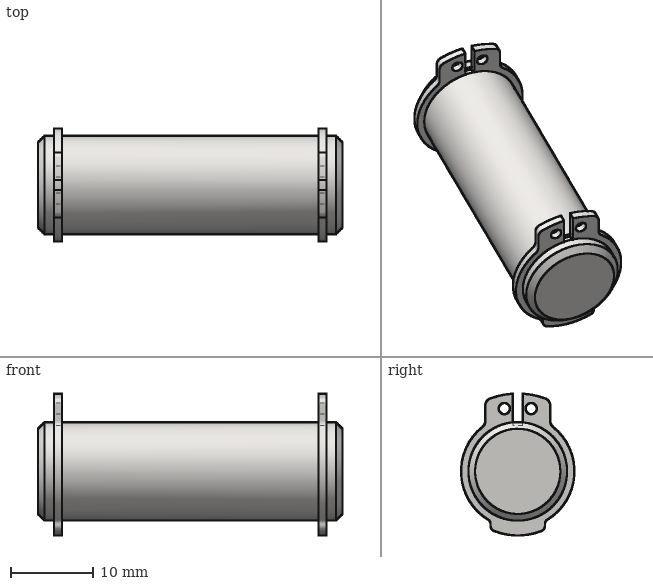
import cadquery as cq
import math

pin_length = 37.0
pin_radius = 6.0
pin_chamfer = 0.8

ring_thickness = 1.0
ring_inset = 1.92
ring_width = 13.8
ring_radius = ring_width / 2
groove_depth = 0.4

ear_half_width = 3.95
ear_tip_radius = 9.47
ear_fillet = 0.92
ear_gap = 1.2
ear_hole_diameter = 1.35
ear_hole_spacing = 3.25
ear_hole_height = 7.62

tab_half_width = 3.33
tab_tip_radius = 7.8
tab_tip_fillet = 0.75
tab_root_fillet = 0.5

corner_search = 0.2


def disc(radius):
    return cq.Workplane("YZ").circle(radius).extrude(ring_thickness)


def lug(half_width, tip_radius, direction):
    """Parallel-sided lug from the axis out to a tip arc concentric with the pin."""
    block = (
        cq.Workplane("YZ")
        .center(0, direction * tip_radius / 2)
        .rect(2 * half_width, tip_radius)
        .extrude(ring_thickness)
    )
    return block.intersect(disc(tip_radius))


def fillet_corners(body, half_width, corner_radius, direction, fillet):
    """Round the two edges where the lug sides meet a circle of corner_radius."""
    z = direction * math.sqrt(corner_radius**2 - half_width**2)
    for y in (-half_width, half_width):
        low = (-corner_search, y - corner_search, z - corner_search)
        high = (ring_thickness + corner_search, y + corner_search, z + corner_search)
        body = body.edges("|X").edges(cq.selectors.BoxSelector(low, high)).fillet(fillet)
    return body


def make_ring():
    """Retaining ring, bored to seat in the groove, whose near face lies at X = 0."""
    ring = disc(ring_radius)
    ring = ring.union(lug(ear_half_width, ear_tip_radius, 1))
    ring = ring.union(lug(tab_half_width, tab_tip_radius, -1))
    ring = fillet_corners(ring, ear_half_width, ear_tip_radius, 1, ear_fillet)
    ring = fillet_corners(ring, ear_half_width, ring_radius, 1, ear_fillet)
    ring = fillet_corners(ring, tab_half_width, tab_tip_radius, -1, tab_tip_fillet)
    ring = fillet_corners(ring, tab_half_width, ring_radius, -1, tab_root_fillet)

    gap = (
        cq.Workplane("YZ")
        .center(0, ear_tip_radius / 2)
        .rect(ear_gap, ear_tip_radius)
        .extrude(ring_thickness)
    )
    holes = (
        cq.Workplane("YZ")
        .pushPoints([(side * ear_hole_spacing / 2, ear_hole_height) for side in (-1, 1)])
        .circle(ear_hole_diameter / 2)
        .extrude(ring_thickness)
    )
    return ring.cut(gap).cut(holes).cut(disc(pin_radius - groove_depth))


def make_pin():
    pin = cq.Workplane("YZ").circle(pin_radius).extrude(pin_length / 2, both=True)
    return pin.faces("<X or >X").chamfer(pin_chamfer)


ring = make_ring()
left_ring_x = -pin_length / 2 + ring_inset
right_ring_x = pin_length / 2 - ring_inset - ring_thickness

groove = disc(pin_radius).cut(disc(pin_radius - groove_depth))
result = make_pin()
for ring_x in (left_ring_x, right_ring_x):
    result = result.cut(groove.translate((ring_x, 0, 0)))
    result = result.union(ring.translate((ring_x, 0, 0)))